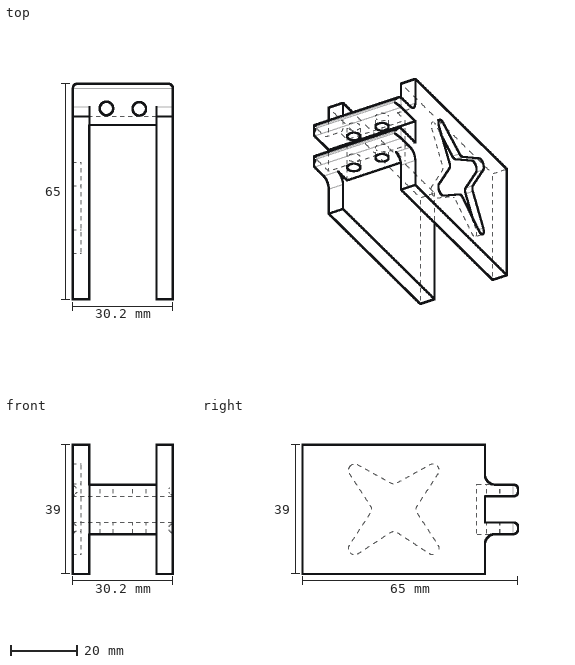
import cadquery as cq
import math

width = 30.2
length = 65.0
height = 39.0

plate_thickness = 5.0
tongue_length = 10.0
plate_back = -tongue_length
plate_front = -length
plate_length = plate_back - plate_front
plate_center_y = (plate_back + plate_front) / 2

bridge_height = 15.0
bridge_length = 12.5
tongue_thickness = 3.6
tongue_end_radius = 1.5
plate_corner_radius = 3.0

hole_diameter = 4.0
hole_centers = [(-4.95, -7.5), (4.95, -7.63)]

star_depth = 2.5
star_radius = 1.9
star_tip_reach = 13.65
star_notch_reach = 6.7
star_top_notch_reach = 7.7


def make_plate(side):
    """One side plate; side is -1 for the -X plate and +1 for the +X plate."""
    center_x = side * (width - plate_thickness) / 2
    plate = cq.Workplane("XY").box(plate_thickness, plate_length, height)
    return plate.translate((center_x, plate_center_y, 0))


def make_bridge():
    """Block between the plates, with two full-width tongues rounded along their back ends."""
    inner_width = width - 2 * plate_thickness
    block_depth = bridge_length - tongue_length
    bridge = cq.Workplane("XY").box(inner_width, block_depth, bridge_height)
    bridge = bridge.translate((0, plate_back - block_depth / 2, 0))
    for side in (-1, 1):
        tongue_z = side * (bridge_height - tongue_thickness) / 2
        tongue = cq.Workplane("XY").box(width, tongue_length, tongue_thickness)
        tongue = tongue.faces(">Y").edges().fillet(tongue_end_radius)
        bridge = bridge.union(tongue.translate((0, -tongue_length / 2, tongue_z)))
    return bridge


def make_corner_fillet(x_side, z_side):
    """Concave fillet between the back edge of a plate and the outer face of a tongue."""
    tongue_face = z_side * bridge_height / 2
    arc_z = tongue_face + z_side * plate_corner_radius
    arc_y = plate_back + plate_corner_radius
    arc_inset = plate_corner_radius * math.sqrt(0.5)
    fillet = (
        cq.Workplane("YZ")
        .moveTo(plate_back, tongue_face)
        .lineTo(arc_y, tongue_face)
        .threePointArc((arc_y - arc_inset, arc_z - z_side * arc_inset), (plate_back, arc_z))
        .close()
        .extrude(plate_thickness / 2, both=True)
    )
    return fillet.translate((x_side * (width - plate_thickness) / 2, 0, 0))


def star_tangent(start, end, turn):
    """Ends of the crossing tangent between two star_radius circles; turn is +1 or -1 for its side."""
    span = math.dist(start, end)
    direction = math.atan2(end[1] - start[1], end[0] - start[0])
    angle = direction + turn * math.acos(2 * star_radius / span)
    offset = (star_radius * math.cos(angle), star_radius * math.sin(angle))
    return (start[0] + offset[0], start[1] + offset[1]), (end[0] - offset[0], end[1] - offset[1])


def make_star():
    """Four-pointed star cutter whose tips and notches are arcs joined by tangent lines."""
    tip = star_tip_reach - star_radius
    side_notch = star_notch_reach + star_radius
    top_notch = star_top_notch_reach + star_radius
    tips = [(tip, tip), (-tip, tip), (-tip, -tip), (tip, -tip)]
    notches = [(0, top_notch), (-side_notch, 0), (0, -side_notch), (side_notch, 0)]
    notch_bottoms = [
        (0, star_top_notch_reach),
        (-star_notch_reach, 0),
        (0, -star_notch_reach),
        (star_notch_reach, 0),
    ]
    tip_stretch = 1 + star_radius / math.hypot(tip, tip)

    first_point = star_tangent(notches[-1], tips[0], 1)[1]
    outline = cq.Workplane("YZ").moveTo(*first_point)
    for i in range(len(tips)):
        next_tip = tips[(i + 1) % len(tips)]
        tip_end, notch_start = star_tangent(tips[i], notches[i], -1)
        notch_end, next_tip_start = star_tangent(notches[i], next_tip, 1)
        tip_crest = (tips[i][0] * tip_stretch, tips[i][1] * tip_stretch)
        outline = outline.threePointArc(tip_crest, tip_end).lineTo(*notch_start)
        outline = outline.threePointArc(notch_bottoms[i], notch_end).lineTo(*next_tip_start)
    return outline.close().extrude(star_depth).translate((-width / 2, plate_center_y, 0))


def make_holes():
    """Cutters for the vertical holes through both tongues."""
    holes = cq.Workplane("XY").workplane(offset=-bridge_height / 2)
    return holes.pushPoints(hole_centers).circle(hole_diameter / 2).extrude(bridge_height)


result = make_bridge()
for x_side in (-1, 1):
    result = result.union(make_plate(x_side))
    for z_side in (-1, 1):
        result = result.union(make_corner_fillet(x_side, z_side))
result = result.cut(make_star()).cut(make_holes())